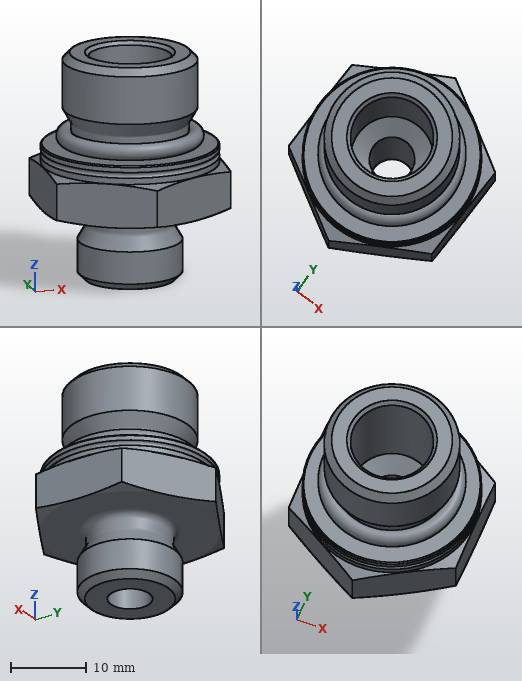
import cadquery as cq
import math

TOTAL_HEIGHT = 31.0
HEX_BOTTOM = 10.0
HEX_TOP = 16.0
COLLAR_TOP = 18.5
UPPER_NECK_TOP = 21.4

LOWER_THREAD_DIAMETER = 14.0
LOWER_NECK_DIAMETER = 11.7
UPPER_THREAD_DIAMETER = 18.0
UPPER_NECK_DIAMETER = 15.7
COLLAR_DIAMETER = 23.8
HEX_ACROSS_FLATS = 24.0
BORE_DIAMETER = 6.0
COUNTERBORE_DIAMETER = 11.0

THREAD_CHAMFER = 1.0
COLLAR_CHAMFER = 0.2
MOUTH_CHAMFER = 0.5
LOWER_NECK_FILLET = 1.0
UPPER_NECK_FILLET = 0.3
LOWER_NECK_LENGTH = 1.33
TAPER_ANGLE = math.radians(30)
HEX_CHAMFER_ANGLE = math.radians(15)

GROOVE_BOTTOM = 16.85
GROOVE_WIDTH = 0.78
GROOVE_DEPTH = 0.28

COUNTERBORE_DEPTH = 14.0
FLOOR_ANGLE = math.radians(60)

RING_OUTER_DIAMETER = 19.65
RING_SECTION_DIAMETER = 2.2


def taper_blend(neck_radius, fillet_radius, swept_angle):
    """Radius reached on a fillet that is tangent to the neck, after turning by swept_angle."""
    return neck_radius + fillet_radius * (1 - math.cos(swept_angle))


def make_lower_spigot():
    neck_radius = LOWER_NECK_DIAMETER / 2
    thread_radius = LOWER_THREAD_DIAMETER / 2
    fillet = LOWER_NECK_FILLET
    neck_top = HEX_BOTTOM - fillet
    neck_bottom = neck_top - LOWER_NECK_LENGTH
    half_angle = TAPER_ANGLE / 2
    taper_radius = taper_blend(neck_radius, fillet, TAPER_ANGLE)
    taper_top = neck_bottom - fillet * math.sin(TAPER_ANGLE)
    taper_bottom = taper_top - (thread_radius - taper_radius) / math.tan(TAPER_ANGLE)
    return (
        cq.Workplane("XZ")
        .moveTo(0, 0)
        .lineTo(thread_radius - THREAD_CHAMFER, 0)
        .lineTo(thread_radius, THREAD_CHAMFER)
        .lineTo(thread_radius, taper_bottom)
        .lineTo(taper_radius, taper_top)
        .threePointArc(
            (taper_blend(neck_radius, fillet, half_angle), neck_bottom - fillet * math.sin(half_angle)),
            (neck_radius, neck_bottom),
        )
        .lineTo(neck_radius, neck_top)
        .radiusArc((neck_radius + fillet, HEX_BOTTOM), fillet)
        .lineTo(0, HEX_BOTTOM)
        .close()
        .revolve(360, (0, 0), (0, 1))
    )


def make_hexagon():
    flat_radius = HEX_ACROSS_FLATS / 2
    corner_radius = flat_radius / math.cos(math.pi / 6)
    corner_drop = (corner_radius - flat_radius) * math.tan(HEX_CHAMFER_ANGLE)
    prism = (
        cq.Workplane("XY")
        .workplane(offset=HEX_BOTTOM)
        .polygon(6, 2 * corner_radius)
        .extrude(HEX_TOP - HEX_BOTTOM)
        .rotate((0, 0, 0), (0, 0, 1), 30)
    )
    chamfer_envelope = (
        cq.Workplane("XZ")
        .moveTo(0, HEX_BOTTOM)
        .lineTo(flat_radius, HEX_BOTTOM)
        .lineTo(corner_radius, HEX_BOTTOM + corner_drop)
        .lineTo(corner_radius, HEX_TOP - corner_drop)
        .lineTo(flat_radius, HEX_TOP)
        .lineTo(0, HEX_TOP)
        .close()
        .revolve(360, (0, 0), (0, 1))
    )
    return prism.intersect(chamfer_envelope)


def make_collar():
    radius = COLLAR_DIAMETER / 2
    groove_top = GROOVE_BOTTOM + GROOVE_WIDTH
    groove_middle = GROOVE_BOTTOM + GROOVE_WIDTH / 2
    return (
        cq.Workplane("XZ")
        .moveTo(0, HEX_TOP)
        .lineTo(radius, HEX_TOP)
        .lineTo(radius, GROOVE_BOTTOM)
        .threePointArc((radius - GROOVE_DEPTH, groove_middle), (radius, groove_top))
        .lineTo(radius, COLLAR_TOP - COLLAR_CHAMFER)
        .lineTo(radius - COLLAR_CHAMFER, COLLAR_TOP)
        .lineTo(0, COLLAR_TOP)
        .close()
        .revolve(360, (0, 0), (0, 1))
    )


def make_upper_spigot():
    neck_radius = UPPER_NECK_DIAMETER / 2
    thread_radius = UPPER_THREAD_DIAMETER / 2
    fillet = UPPER_NECK_FILLET
    half_angle = TAPER_ANGLE / 2
    taper_radius = taper_blend(neck_radius, fillet, TAPER_ANGLE)
    taper_bottom = UPPER_NECK_TOP + fillet * math.sin(TAPER_ANGLE)
    taper_top = taper_bottom + (thread_radius - taper_radius) / math.tan(TAPER_ANGLE)
    return (
        cq.Workplane("XZ")
        .moveTo(0, COLLAR_TOP)
        .lineTo(neck_radius, COLLAR_TOP)
        .lineTo(neck_radius, UPPER_NECK_TOP)
        .threePointArc(
            (taper_blend(neck_radius, fillet, half_angle), UPPER_NECK_TOP + fillet * math.sin(half_angle)),
            (taper_radius, taper_bottom),
        )
        .lineTo(thread_radius, taper_top)
        .lineTo(thread_radius, TOTAL_HEIGHT - THREAD_CHAMFER)
        .lineTo(thread_radius - THREAD_CHAMFER, TOTAL_HEIGHT)
        .lineTo(0, TOTAL_HEIGHT)
        .close()
        .revolve(360, (0, 0), (0, 1))
    )


def make_bore():
    """Through bore and counterbore, as the volume to remove."""
    bore_radius = BORE_DIAMETER / 2
    counterbore_radius = COUNTERBORE_DIAMETER / 2
    floor_top = TOTAL_HEIGHT - COUNTERBORE_DEPTH
    floor_bottom = floor_top - (counterbore_radius - bore_radius) / math.tan(FLOOR_ANGLE)
    return (
        cq.Workplane("XZ")
        .moveTo(0, 0)
        .lineTo(bore_radius, 0)
        .lineTo(bore_radius, floor_bottom)
        .lineTo(counterbore_radius, floor_top)
        .lineTo(counterbore_radius, TOTAL_HEIGHT - MOUTH_CHAMFER)
        .lineTo(counterbore_radius + MOUTH_CHAMFER, TOTAL_HEIGHT)
        .lineTo(0, TOTAL_HEIGHT)
        .close()
        .revolve(360, (0, 0), (0, 1))
    )


def make_sealing_ring():
    """Round-section ring resting on the collar around the upper neck."""
    section_radius = RING_SECTION_DIAMETER / 2
    centre_radius = RING_OUTER_DIAMETER / 2 - section_radius
    return (
        cq.Workplane("XZ")
        .moveTo(centre_radius, COLLAR_TOP + section_radius)
        .circle(section_radius)
        .revolve(360, (0, 0), (0, 1))
    )


def make_fitting(ring):
    """Hexagonal fitting; the ring sits in a matching shallow seat in the upper neck."""
    return (
        make_lower_spigot()
        .union(make_hexagon())
        .union(make_collar())
        .union(make_upper_spigot())
        .cut(make_bore())
        .cut(ring)
    )


sealing_ring = make_sealing_ring()
fitting = make_fitting(sealing_ring)

result = cq.Compound.makeCompound([fitting.solids().val(), sealing_ring.val()])